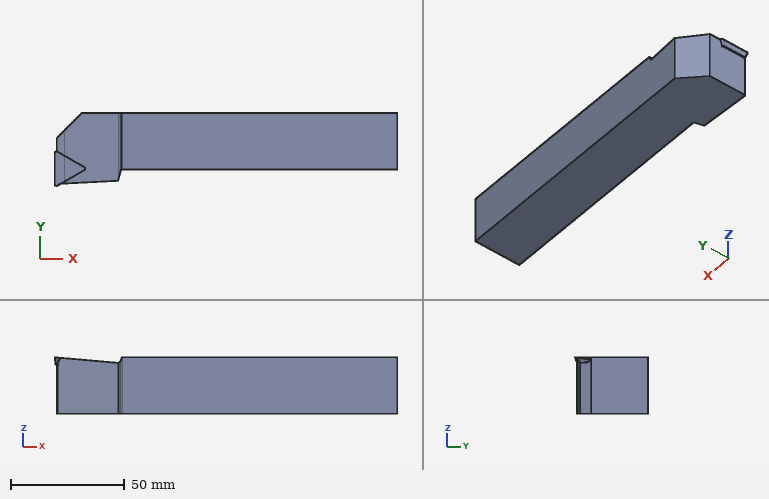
import cadquery as cq
import math

overall_length = 151.31
shank_width = 25.0
height = 25.0
cutting_reach = 32.26

insert_inscribed_diameter = 9.525
insert_corner_radius = 0.8
insert_thickness = 3.18
insert_relief_angle = 12.0

insert_overhang = 0.9
front_corner_y = -31.4
side_relief_angle = 3.0
back_chamfer = 11.1
front_chamfer = 0.4
head_end_x = 28.0
side_neck_angle = 15.0
side_neck_radius = 0.8

land_length = 4.2
land_angle = 5.2
rake_angle = 5.0
step_angle = 20.0
step_radius = 1.0
cutter_clearance = 1.0


def tangent(angle):
    return math.tan(math.radians(angle))


def make_insert_plate():
    inradius = insert_inscribed_diameter / 2
    core_inradius = inradius - insert_corner_radius
    base_core_inradius = core_inradius - insert_thickness * tangent(insert_relief_angle)
    half_extent = core_inradius * math.sqrt(3) + insert_corner_radius

    def rounded_triangle(inner_radius, z):
        circumscribed_diameter = 4 * inner_radius
        return (
            cq.Workplane("XY", origin=(inradius, half_extent - cutting_reach, z))
            .polygon(3, circumscribed_diameter)
            .offset2D(insert_corner_radius)
            .val()
        )

    top_outline = rounded_triangle(core_inradius, height)
    base_outline = rounded_triangle(base_core_inradius, height - insert_thickness)
    level_plate = cq.Workplane("XY").add(cq.Solid.makeLoft([base_outline, top_outline], True))
    return level_plate.rotate((0, 0, height), (0, 1, height), rake_angle)


def make_blank():
    head_side_y = front_corner_y + (head_end_x - insert_overhang) * tangent(side_relief_angle)
    neck_end_x = head_end_x + (-shank_width - head_side_y) * tangent(side_neck_angle)
    outline = [
        (insert_overhang, -back_chamfer),
        (insert_overhang + back_chamfer, 0),
        (overall_length, 0),
        (overall_length, -shank_width),
        (neck_end_x, -shank_width),
        (head_end_x, head_side_y),
        (insert_overhang, front_corner_y),
    ]

    def upright_edge(x, y):
        return cq.selectors.NearestToPointSelector((x, y, height / 2))

    return (
        cq.Workplane("XY")
        .polyline(outline)
        .close()
        .extrude(height)
        .edges(upright_edge(neck_end_x, -shank_width))
        .fillet(side_neck_radius)
        .edges(upright_edge(insert_overhang, front_corner_y))
        .chamfer(front_chamfer)
    )


def make_rake_cutter():
    land_z = height - land_length * tangent(land_angle)
    turn_angle = 90 - step_angle + rake_angle
    fillet_setback = step_radius * tangent(turn_angle / 2)
    floor_end_x = head_end_x + fillet_setback * math.cos(math.radians(rake_angle))
    floor_end_z = land_z - (floor_end_x - land_length) * tangent(rake_angle)
    cutter_top_z = height + cutter_clearance
    step_top_x = floor_end_x + (cutter_top_z - floor_end_z) * tangent(step_angle)
    cutter_width = cutting_reach + cutter_clearance
    return (
        cq.Workplane("XZ")
        .moveTo(-cutter_clearance, height + cutter_clearance * tangent(land_angle))
        .lineTo(land_length, land_z)
        .lineTo(floor_end_x, floor_end_z)
        .lineTo(step_top_x, cutter_top_z)
        .lineTo(-cutter_clearance, cutter_top_z)
        .close()
        .extrude(cutter_width)
        .edges(cq.selectors.NearestToPointSelector((floor_end_x, -cutter_width / 2, floor_end_z)))
        .fillet(step_radius)
    )


rake_cutter = make_rake_cutter()
insert_plate = make_insert_plate()
insert = insert_plate.cut(rake_cutter)
holder = make_blank().cut(rake_cutter).cut(insert_plate)

result = cq.Compound.makeCompound([holder.val(), insert.val()])